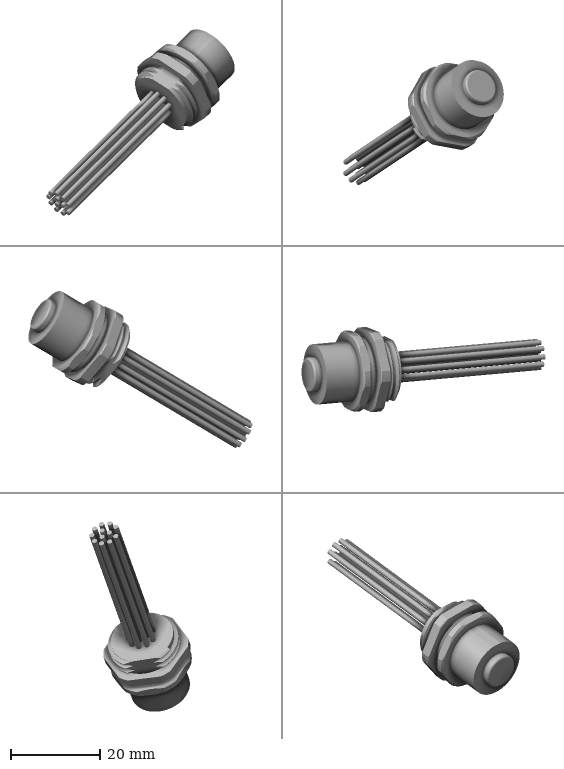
import cadquery as cq
import math


collar_start = 1.75
nut_start = 9.75
nut_end = 11.75
flange_start = 13.7
flange_end = 16.0
thread_end = 19.75
wire_end = 56.25

nose_radius = 3.95
nose_fillet = 0.5
collar_radius = 13.55 / 2
collar_flat_width = 2.25

nut_apothem = 8.65
nut_corner_radius = 9.15
nut_chamfer_axial = 0.365
flange_apothem = 9.0
flange_corner_radius = 19.5 / 2
flange_chamfer = 0.195
flange_turn = -2.1
flange_bore_radius = 7.55

ring_outer_radius = 7.75
ring_section_radius = 1.0
seat_radius = 6.65

thread_root_radius = 7.15
thread_crest_radius = 8.0
thread_pitch = 1.5
thread_base_width = 1.05
thread_crest_width = 0.15
thread_start = 15.1
thread_turns = 2.9
thread_sink = 0.2
thread_flat_distance = 6.75

wire_diameter = 1.2
outer_wire_ring = 2.9
outer_wire_count = 9
outer_wire_step = 38.0
inner_wire_ring = 2.2 / 2
inner_wire_count = 3


def disc(radius, start, end):
    return cq.Workplane("XY").workplane(offset=start).circle(radius).extrude(end - start)


def turned(points):
    """Solid of revolution about Z from (radius, z) points."""
    return cq.Workplane("XZ").polyline(points).close().revolve(360, (0, 0, 0), (0, 1, 0))


def hexagon(apothem, start, end, turn=0):
    """Hexagonal prism with flats facing +Y and -Y when the turn is zero."""
    across_corners = 2 * apothem / math.cos(math.pi / 6)
    prism = cq.Workplane("XY").workplane(offset=start).polygon(6, across_corners).extrude(end - start)
    return prism.rotate((0, 0, 0), (0, 0, 1), turn)


def nose():
    return disc(nose_radius, 0, collar_start).faces("<Z").edges().fillet(nose_fillet)


def slab(half_height, start, end):
    """Block wider than the part, reaching equally far above and below the axis."""
    width = 4 * flange_corner_radius
    return cq.Workplane("XY").workplane(offset=start).rect(width, 2 * half_height).extrude(end - start)


def collar():
    """Cylinder with a narrow flat on its upper side."""
    flat_height = math.sqrt(collar_radius**2 - (collar_flat_width / 2) ** 2)
    above_flat = slab(collar_radius, collar_start, nut_start).translate((0, flat_height + collar_radius, 0))
    return disc(collar_radius, collar_start, nut_start).cut(above_flat)


def nut():
    """Hexagon whose corners are bevelled at both ends."""
    envelope = turned([
        (0, nut_start),
        (nut_apothem, nut_start),
        (nut_corner_radius, nut_start + nut_chamfer_axial),
        (nut_corner_radius, nut_end - nut_chamfer_axial),
        (nut_apothem, nut_end),
        (0, nut_end),
    ])
    return hexagon(nut_apothem, nut_start, nut_end).intersect(envelope)


def sealing_ring():
    """Round-section ring on a plain cylindrical seat."""
    seat = disc(seat_radius, nut_end, flange_start)
    ring_radius = ring_outer_radius - ring_section_radius
    ring = (
        cq.Workplane("XZ")
        .center(-ring_radius, (nut_end + flange_start) / 2)
        .circle(ring_section_radius)
        .revolve(360, (ring_radius, 0, 0), (ring_radius, 1, 0))
    )
    return seat.union(ring)


def flange():
    """Slightly turned hexagon, its corners bevelled on the seal side.

    A crescent gap passes through it above and below the thread flats.
    """
    envelope = turned([
        (0, flange_start),
        (flange_corner_radius - flange_chamfer, flange_start),
        (flange_corner_radius, flange_start + flange_chamfer),
        (flange_corner_radius, flange_end),
        (0, flange_end),
    ])
    body = hexagon(flange_apothem, flange_start, flange_end, flange_turn).intersect(envelope)
    between_flats = slab(thread_flat_distance, flange_start, flange_end)
    gaps = disc(flange_bore_radius, flange_start, flange_end).cut(between_flats)
    return body.cut(gaps)


def threaded_barrel():
    path = cq.Wire.makeHelix(
        thread_pitch,
        thread_turns * thread_pitch,
        thread_root_radius,
        cq.Vector(0, 0, thread_start),
    )
    flank_slope = (thread_base_width - thread_crest_width) / 2 / (thread_crest_radius - thread_root_radius)
    foot_radius = thread_root_radius - thread_sink
    foot_half = thread_base_width / 2 + flank_slope * thread_sink
    crest_half = thread_crest_width / 2
    ridge = (
        cq.Workplane("XZ")
        .polyline([
            (foot_radius, thread_start - foot_half),
            (thread_crest_radius, thread_start - crest_half),
            (thread_crest_radius, thread_start + crest_half),
            (foot_radius, thread_start + foot_half),
        ])
        .close()
        .sweep(cq.Workplane(path), isFrenet=True)
    )
    between_flats = slab(thread_flat_distance, flange_end, thread_end)
    core = disc(thread_root_radius, flange_end, thread_end).intersect(between_flats)
    return core.union(ridge.intersect(between_flats))


def wire_ring(ring_radius, angles):
    spots = [
        (ring_radius * math.cos(math.radians(a)), ring_radius * math.sin(math.radians(a)))
        for a in angles
    ]
    return (
        cq.Workplane("XY")
        .workplane(offset=thread_end)
        .pushPoints(spots)
        .circle(wire_diameter / 2)
        .extrude(wire_end - thread_end)
    )


outer_angles = [180 + outer_wire_step * (i - outer_wire_count // 2) for i in range(outer_wire_count)]
inner_angles = [360 / inner_wire_count * i for i in range(inner_wire_count)]

connector = nose()
for section in (
    collar(),
    nut(),
    sealing_ring(),
    flange(),
    threaded_barrel(),
    wire_ring(outer_wire_ring, outer_angles),
    wire_ring(inner_wire_ring, inner_angles),
):
    connector = connector.union(section)

result = connector.rotate((0, 0, 0), (1, 0, 0), 90)